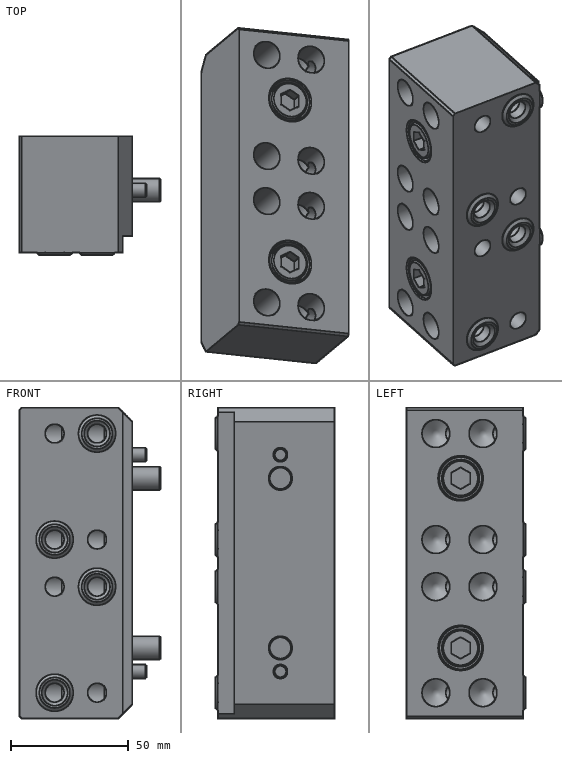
import cadquery as cq
import math

BLOCK_WIDTH = 48.0
BLOCK_DEPTH = 49.5
BLOCK_HEIGHT = 132.0
LEFT_CHAMFER = 1.0
RIGHT_CHAMFER = 6.0
STEP_WIDTH = 4.0
STEP_DEPTH = 7.0
MID_Z = BLOCK_HEIGHT / 2

PORT_OFFSETS = (55.0, 10.0)
NEAR_X = 15.0
FAR_X = 33.0
FRONT_BORE_DIAMETER = 8.0
SIDE_BORE_DIAMETER = 11.8
SIDE_BORE_OVERRUN = 3.0
DRILL_POINT_ANGLE = 118.0
SIDE_BORE_PITCH = 20.0
SHALLOW_Y = 17.0
DEEP_Y = SHALLOW_Y + SIDE_BORE_PITCH

RING_RADIUS = 7.9
RING_PROTRUSION = 1.1
RING_SEAT_DEPTH = 5.0
RING_OUTER_CHAMFER = 1.4
RING_INNER_CHAMFER = 1.5

FIXING_Y = BLOCK_DEPTH - 23.0
SCREW_OFFSET = 36.0
SCREW_DIAMETER = 10.0
SCREW_PROTRUSION = 12.0
SCREW_TIP_CHAMFER = 0.5
HEAD_DIAMETER = 16.0
HEAD_HEIGHT = 10.0
HEAD_CHAMFER = 0.7
SOCKET_ACROSS_FLATS = 8.0
SOCKET_DEPTH = 6.0
COUNTERBORE_DIAMETER = 18.0
COUNTERBORE_CHAMFER = 0.6
PIN_OFFSET = 46.0
PIN_DIAMETER = 6.0
PIN_PROTRUSION = 6.0
PIN_EMBEDDED = 10.0
PIN_CHAMFER = 0.6
PIN_START_X = BLOCK_WIDTH - PIN_EMBEDDED
SCREW_HEIGHTS = (MID_Z - SCREW_OFFSET, MID_Z + SCREW_OFFSET)
PIN_HEIGHTS = (MID_Z - PIN_OFFSET, MID_Z + PIN_OFFSET)


def rod_x(diameter, start, end, y, z):
    """Cylinder along X from start to end."""
    return cq.Workplane("YZ", origin=(start, y, z)).circle(diameter / 2).extrude(end - start)


def port_rows():
    """Height and ring column of each row; the ring changes column from row to row."""
    upper, lower = PORT_OFFSETS
    ring_columns = ((upper, FAR_X), (lower, NEAR_X), (-lower, FAR_X), (-upper, NEAR_X))
    return [(MID_Z + offset, ring_x) for offset, ring_x in ring_columns]


def side_bore(depth, y, z):
    """Blind drilled bore with a conical bottom, entering from the left face."""
    radius = SIDE_BORE_DIAMETER / 2
    tip = depth + radius / math.tan(math.radians(DRILL_POINT_ANGLE / 2))
    profile = cq.Workplane("XY").polyline([(0, 0), (tip, 0), (depth, radius), (0, radius)]).close()
    return profile.revolve(360, (0, 0, 0), (1, 0, 0)).translate((0, y, z))


def front_bore(diameter, depth, x, z):
    """Flat-bottomed bore entering from the front face."""
    return cq.Workplane("XZ", origin=(x, 0, z)).circle(diameter / 2).extrude(-depth)


def cut_ports(body):
    """Drill the crossing bores of every row and sink the ring seats."""
    for z, ring_x in port_rows():
        for x, y in ((NEAR_X, SHALLOW_Y), (FAR_X, DEEP_Y)):
            body = body.cut(side_bore(x + SIDE_BORE_OVERRUN, y, z))
            body = body.cut(front_bore(FRONT_BORE_DIAMETER, y, x, z))
        body = body.cut(front_bore(2 * RING_RADIUS, RING_SEAT_DEPTH, ring_x, z))
    return body


def cut_fixings(body):
    """Counterbored screw holes through the block and blind pin holes in its right face."""
    for screw_z in SCREW_HEIGHTS:
        mouth = (
            cq.Workplane("YZ", origin=(0, FIXING_Y, screw_z))
            .circle(COUNTERBORE_DIAMETER / 2 + COUNTERBORE_CHAMFER)
            .extrude(COUNTERBORE_CHAMFER, taper=45)
        )
        body = body.cut(mouth)
        body = body.cut(rod_x(COUNTERBORE_DIAMETER, 0, HEAD_HEIGHT, FIXING_Y, screw_z))
        body = body.cut(rod_x(SCREW_DIAMETER, 0, BLOCK_WIDTH, FIXING_Y, screw_z))
    for pin_z in PIN_HEIGHTS:
        body = body.cut(rod_x(PIN_DIAMETER, PIN_START_X, BLOCK_WIDTH, FIXING_Y, pin_z))
    return body


def make_block():
    body = cq.Workplane("XY").box(BLOCK_WIDTH, BLOCK_DEPTH, BLOCK_HEIGHT, centered=False)
    body = body.faces("<X").edges("|Y").chamfer(LEFT_CHAMFER)
    body = body.faces(">X").edges("|Y").chamfer(RIGHT_CHAMFER)
    step = cq.Workplane("XY").box(STEP_WIDTH, STEP_DEPTH, BLOCK_HEIGHT, centered=False)
    body = body.cut(step.translate((BLOCK_WIDTH - STEP_WIDTH, 0, 0)))
    return cut_fixings(cut_ports(body))


def make_ring(x, z):
    """Ring with a conical outer rim and a conical mouth."""
    length = RING_SEAT_DEPTH + RING_PROTRUSION
    ring = (
        cq.Workplane("XZ", origin=(x, RING_SEAT_DEPTH, z))
        .circle(RING_RADIUS)
        .circle(FRONT_BORE_DIAMETER / 2)
        .extrude(length)
    )
    ring = ring.faces("<Y").edges(cq.selectors.RadiusNthSelector(1)).chamfer(RING_OUTER_CHAMFER)
    return ring.faces("<Y").edges(cq.selectors.RadiusNthSelector(0)).chamfer(RING_INNER_CHAMFER)


def make_screw(z):
    """Socket head screw with its head flush with the left face."""
    head = rod_x(HEAD_DIAMETER, 0, HEAD_HEIGHT, FIXING_Y, z).faces("<X").chamfer(HEAD_CHAMFER)
    shank = rod_x(SCREW_DIAMETER, HEAD_HEIGHT, BLOCK_WIDTH + SCREW_PROTRUSION, FIXING_Y, z)
    shank = shank.faces(">X").chamfer(SCREW_TIP_CHAMFER)
    socket = (
        cq.Workplane("YZ", origin=(0, FIXING_Y, z))
        .polygon(6, SOCKET_ACROSS_FLATS, circumscribed=True)
        .extrude(SOCKET_DEPTH)
    )
    return head.union(shank).cut(socket)


def make_pin(z):
    """Locating pin standing out of the right face."""
    pin = rod_x(PIN_DIAMETER, PIN_START_X, BLOCK_WIDTH + PIN_PROTRUSION, FIXING_Y, z)
    return pin.faces(">X").chamfer(PIN_CHAMFER)


block = make_block()
rings = [make_ring(ring_x, z) for z, ring_x in port_rows()]
screws = [make_screw(z) for z in SCREW_HEIGHTS]
pins = [make_pin(z) for z in PIN_HEIGHTS]

result = cq.Compound.makeCompound([body.val() for body in (block, *rings, *screws, *pins)])